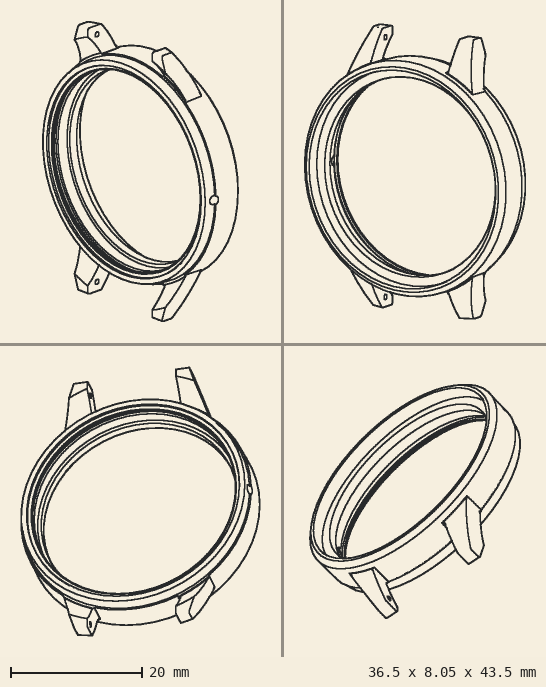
import cadquery as cq
import math

total_length = 43.5
case_depth = 7.2

case_radius = 18.25
back_chamfer = 0.83
step_y = 1.8
radius_above_step = 18.2
radius_below_step = 17.92
front_radius = 17.65

front_seat_radius = 16.8
front_seat_y = 0.4
lip_entry_radius = 16.2
lip_entry_y = 0.52
bore_radius = 16.05
groove_radius = 16.5
groove_front_y = 0.83
groove_back_y = 1.65
flange_radius = 15.5
flange_front_y = 3.6
flange_back_y = 5.1
back_seat_radius = 16.9

crown_hole_diameter = 1.45
crown_hole_y = 1.55

tip_z = total_length / 2
lug_inner_x = 7.0
lug_tip_x = 9.05
lug_foot_x = 11.5
lug_foot_z = 14.15
lug_front_y = -0.85
lug_back_y = 5.25
lug_root_radius = 17.4
tip_fillet = 0.45
root_fillet = 0.3
pin_hole_diameter = 0.8
pin_hole_depth = 1.3
pin_hole_y = 1.15
pin_hole_z = 20.23


def revolve_about_y(profile):
    """Turn a closed (radius, y) profile fully around the Y axis."""
    return profile.close().revolve(360, (0, 0, 0), (0, 1, 0))


def solid_case():
    """The outside shape of the ring, without its bore."""
    profile = cq.Workplane("XY").polyline([
        (0, 0),
        (front_radius, 0),
        (radius_below_step, step_y),
        (radius_above_step, step_y),
        (case_radius, case_depth - back_chamfer),
        (case_radius - back_chamfer, case_depth),
        (0, case_depth),
    ])
    return revolve_about_y(profile)


def bore():
    """The stepped opening, with seats at both ends and a groove behind the front lip."""
    profile = cq.Workplane("XY").polyline([
        (0, 0),
        (front_seat_radius, 0),
        (front_seat_radius, front_seat_y),
        (lip_entry_radius, front_seat_y),
        (lip_entry_radius, lip_entry_y),
        (bore_radius, lip_entry_y),
        (bore_radius, groove_front_y),
        (groove_radius, groove_front_y),
        (groove_radius, groove_back_y),
        (bore_radius, groove_back_y),
        (bore_radius, flange_front_y),
        (flange_radius, flange_front_y),
        (flange_radius, flange_back_y),
        (back_seat_radius, flange_back_y),
        (back_seat_radius, case_depth),
        (0, case_depth),
    ])
    return revolve_about_y(profile)


def lug():
    """The +X, +Z lug: a curved band around Y, trimmed to a tapered outline."""
    front_root, front_middle, front_end = (18.35, 1.95), (19.65, 1.0), (21.55, lug_front_y)
    back_root, back_middle, back_end = (18.35, lug_back_y), (21.15, 3.5), (24.0, 0.83)
    band = revolve_about_y(
        cq.Workplane("XY")
        .moveTo(lug_root_radius, step_y)
        .lineTo(front_root[0], step_y)
        .lineTo(*front_root)
        .threePointArc(front_middle, front_end)
        .lineTo(back_end[0], lug_front_y)
        .lineTo(*back_end)
        .threePointArc(back_middle, back_root)
        .lineTo(lug_root_radius, lug_back_y)
    )
    slant = (lug_foot_x - lug_tip_x) / (tip_z - lug_foot_z)
    base_z = 13.05
    base_x = lug_foot_x + slant * (lug_foot_z - base_z)
    outline = (
        cq.Workplane("XZ", origin=(0, lug_front_y, 0))
        .polyline([(lug_inner_x, base_z), (base_x, base_z), (lug_tip_x, tip_z), (lug_inner_x, tip_z)])
        .close()
        .extrude(lug_front_y - lug_back_y)
    )
    pin_hole = (
        cq.Workplane("YZ", origin=(lug_inner_x, pin_hole_y, pin_hole_z))
        .circle(pin_hole_diameter / 2)
        .extrude(pin_hole_depth)
    )
    return band.intersect(outline).faces(">Z").edges("<Y or >Y").fillet(tip_fillet).cut(pin_hole)


def crown_hole():
    """The cutter for the radial hole through the +X wall."""
    return (
        cq.Workplane("YZ", origin=(flange_radius, crown_hole_y, 0))
        .circle(crown_hole_diameter / 2)
        .extrude(case_radius - flange_radius + 0.45)
    )


def root_corner():
    """The concave filler between a lug's inner side and the case wall."""
    reach = case_radius + root_fillet
    center_x = lug_inner_x - root_fillet
    center_z = math.sqrt(reach**2 - center_x**2)
    base_z = center_z - 3 * root_fillet
    filler = (
        cq.Workplane("XZ", origin=(0, step_y, 0))
        .moveTo(center_x * case_radius / reach, base_z)
        .lineTo(lug_inner_x, base_z)
        .lineTo(lug_inner_x, center_z)
        .lineTo(center_x, center_z)
        .lineTo(center_x * case_radius / reach, center_z * case_radius / reach)
        .close()
        .extrude(step_y - lug_back_y)
    )
    round_cutter = (
        cq.Workplane("XZ", origin=(center_x, step_y, center_z))
        .circle(root_fillet)
        .extrude(step_y - lug_back_y)
    )
    return filler.cut(round_cutter)


case = solid_case()
corner_lug = lug().union(root_corner())
for upper_lug in (corner_lug, corner_lug.mirror("YZ")):
    case = case.union(upper_lug).union(upper_lug.mirror("XY"))

result = case.cut(bore()).cut(crown_hole())